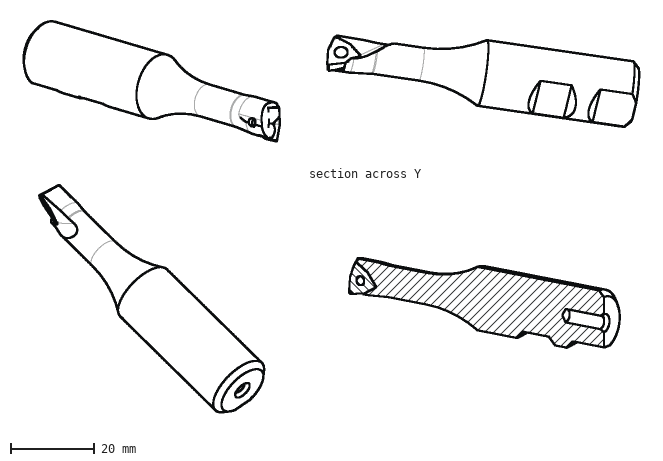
import cadquery as cq
import math

shank_radius = 16.0 / 2
shank_end = 37.1
end_chamfer = 1.4
neck_radius = 8.0 / 2
neck_end = 63.4
blend_radius = 30.0
blend_drop = shank_radius - neck_radius
blend_length = math.sqrt(2 * blend_radius * blend_drop - blend_drop**2)
blend_end = shank_end + blend_length
blend_mid_angle = math.asin(blend_length / blend_radius) / 2

bevel_end = 63.7
bevel_radius = 4.05
flare_end = 68.85
head_radius = 4.5
total_length = 75.0
relief_start = 65.9
relief_radius = 4.3
relief_angle = 15.0

flat_depth = 1.9
flat_level = shank_radius - flat_depth
first_flat_end = 11.1
second_flat_start = 14.4
second_flat_end = 25.7

bore_radius = 3.2 / 2
bore_mouth_radius = 2.25
bore_mouth_angle = 30.0
bore_point_angle = 59.0
bore_depth = 11.25

flute_level = 1.7
flute_floor_start = 65.1
flute_entry_radius = 4.2
flute_floor_rise = 2.5
flute_lean_x = 1.0
flute_lean_y = 0.07

nose_bottom = (74.7, -3.75)
nose_middle = (74.4, 0.0)
nose_top = (72.45, 4.2)
nose_relief = 7.0
clearance_start = 70.65
clearance_level = 3.7

insert_radius = 6.4 / 2
insert_thickness = 3.15
insert_relief = 7.0
insert_nose_radius = 0.4
corner_half_angle = 40.0
bend_half_angle = 80.0
tip_direction = corner_half_angle - 90.0
insert_center_y = 1.35
insert_center_z = -1.6
insert_axis = cq.Vector(-0.2, -1, 0.28).normalized()
screw_radius = 2.0 / 2
screw_head_radius = 1.6
screw_head_height = 1.0
screw_end_chamfer = 0.26
screw_length = 5.4

span = 4 * shank_radius

insert_center_x = total_length - insert_radius * math.sqrt(1 - insert_axis.x**2)
insert_plane = cq.Plane(
    origin=(insert_center_x, insert_center_y, insert_center_z),
    xDir=cq.Vector(1, 0, 0) - insert_axis * insert_axis.x,
    normal=insert_axis,
)


def make_insert_blank_and_chip_space():
    """Trigon plate tapering away from its cutting face, and the chip space that opens above it."""
    points = []
    for i in range(6):
        half_angle = corner_half_angle if i % 2 == 0 else bend_half_angle
        distance = insert_radius / math.sin(math.radians(half_angle))
        direction = math.radians(tip_direction + 60 * i)
        points.append((distance * math.cos(direction), distance * math.sin(direction)))
    outline = cq.Sketch().polygon(points + points[:1]).vertices().fillet(insert_nose_radius)
    blank = cq.Workplane(insert_plane).placeSketch(outline).extrude(insert_thickness, taper=insert_relief)
    over_insert = cq.Workplane(insert_plane).placeSketch(outline).extrude(-span)
    ahead_of_insert = cq.Workplane(insert_plane).center(span / 2, 0).rect(span, span).extrude(-span)
    return blank, over_insert.union(ahead_of_insert)


def make_screw():
    """Countersunk screw, flush with the cutting face of the insert."""
    profile = [
        (0, 0),
        (screw_head_radius, 0),
        (screw_radius, screw_head_height),
        (screw_radius, screw_length - screw_end_chamfer),
        (screw_radius - screw_end_chamfer, screw_length),
        (0, screw_length),
    ]
    axis_plane = cq.Plane(origin=insert_plane.origin, xDir=insert_plane.xDir, normal=insert_plane.yDir * -1)
    return cq.Workplane(axis_plane).polyline(profile).close().revolve(360, (0, 0, 0), (0, 1, 0))


def make_turned_body():
    """Shank, concave blend, neck, flare and head in one revolved profile."""
    blend_mid = (
        blend_end - blend_radius * math.sin(blend_mid_angle),
        neck_radius + blend_radius * (1 - math.cos(blend_mid_angle)),
    )
    return (
        cq.Workplane("XZ")
        .lineTo(0, shank_radius - end_chamfer)
        .lineTo(end_chamfer, shank_radius)
        .lineTo(shank_end, shank_radius)
        .threePointArc(blend_mid, (blend_end, neck_radius))
        .lineTo(neck_end, neck_radius)
        .lineTo(bevel_end, bevel_radius)
        .lineTo(flare_end, head_radius)
        .lineTo(total_length, head_radius)
        .lineTo(total_length, 0)
        .close()
        .revolve(360, (0, 0, 0), (1, 0, 0))
    )


def make_clamping_flats():
    """Two notches under the shank with 45 degree ramps."""
    profiles = [
        [
            (0, -flat_level),
            (first_flat_end - flat_depth, -flat_level),
            (first_flat_end, -shank_radius),
            (0, -shank_radius),
        ],
        [
            (second_flat_start, -shank_radius),
            (second_flat_start + flat_depth, -flat_level),
            (second_flat_end - flat_depth, -flat_level),
            (second_flat_end, -shank_radius),
        ],
    ]
    flats = cq.Workplane("XZ")
    for profile in profiles:
        flats = flats.polyline(profile).close()
    return flats.extrude(span / 2, both=True)


def make_bore():
    """Blind bore with a countersunk mouth and a drill-point bottom."""
    mouth_depth = (bore_mouth_radius - bore_radius) / math.tan(math.radians(bore_mouth_angle))
    profile = [
        (0, 0),
        (0, bore_mouth_radius),
        (mouth_depth, bore_radius),
        (bore_depth, bore_radius),
        (bore_depth + bore_radius / math.tan(math.radians(bore_point_angle)), 0),
    ]
    return cq.Workplane("XZ").polyline(profile).close().revolve(360, (0, 0, 0), (1, 0, 0))


def make_head_relief():
    """Material outside the smaller radius, above the split and beyond its tangent plane."""
    length = total_length - relief_start
    upper = cq.Workplane("XY").box(length, span, span, centered=(False, True, False))
    side = (
        cq.Workplane("XY")
        .box(length, span, span, centered=(False, False, True))
        .translate((0, -span - relief_radius, 0))
    )
    core = cq.Workplane("YZ").circle(relief_radius).extrude(length)
    relief = upper.cut(core).union(side)
    return relief.rotate((0, 0, 0), (1, 0, 0), -relief_angle).translate((relief_start, 0, 0))


def make_flute():
    """Oblique prism: a round run-in followed by a flat floor up to the nose."""
    bottom = -span / 2
    arc_start = (flute_floor_start - flute_entry_radius, flute_level + flute_entry_radius)
    arc_mid = (
        flute_floor_start - flute_entry_radius * math.sin(math.radians(45)),
        flute_level + flute_entry_radius * (1 - math.cos(math.radians(45))),
    )
    floor_length = total_length - flute_floor_start + span
    floor_end_level = flute_level + floor_length * math.tan(math.radians(flute_floor_rise))
    profile = (
        cq.Workplane("XY")
        .moveTo(*arc_start)
        .threePointArc(arc_mid, (flute_floor_start, flute_level))
        .lineTo(flute_floor_start + floor_length, floor_end_level)
        .lineTo(flute_floor_start + floor_length, arc_start[1])
        .close()
        .wires()
        .val()
    )
    lean = cq.Vector(-flute_lean_x, -flute_lean_y, 1)
    start = profile.translate(lean * bottom)
    return cq.Workplane(cq.Solid.extrudeLinear(start, [], lean * span))


def make_nose_cut():
    """Everything in front of the rounded nose, and the clearance below the insert."""
    profile = (
        cq.Workplane("XZ")
        .moveTo(nose_bottom[0], -span)
        .lineTo(*nose_bottom)
        .threePointArc(nose_middle, nose_top)
        .lineTo(nose_top[0], span)
        .lineTo(total_length + span, span)
        .lineTo(total_length + span, -span)
        .close()
        .wires()
        .val()
    )
    half_sweep = cq.Vector(math.tan(math.radians(nose_relief)), 1, 0) * shank_radius
    start = profile.translate(half_sweep * -1)
    front = cq.Workplane(cq.Solid.extrudeLinear(start, [], half_sweep * 2))
    below = (
        cq.Workplane("XY")
        .box(span, span, span, centered=(False, True, False))
        .translate((clearance_start, 0, -clearance_level - span))
    )
    return front.union(below)


insert_blank, chip_space = make_insert_blank_and_chip_space()
screw = make_screw()
insert = insert_blank.cut(screw)
screw_hole = cq.Workplane(insert_plane).circle(screw_radius).extrude(span)

holder = (
    make_turned_body()
    .cut(make_clamping_flats())
    .cut(make_bore())
    .cut(make_head_relief())
    .cut(make_flute())
    .cut(make_nose_cut())
    .cut(insert_blank)
    .cut(chip_space)
    .cut(screw_hole)
)

result = cq.Compound.makeCompound([holder.val(), insert.val(), screw.val()])